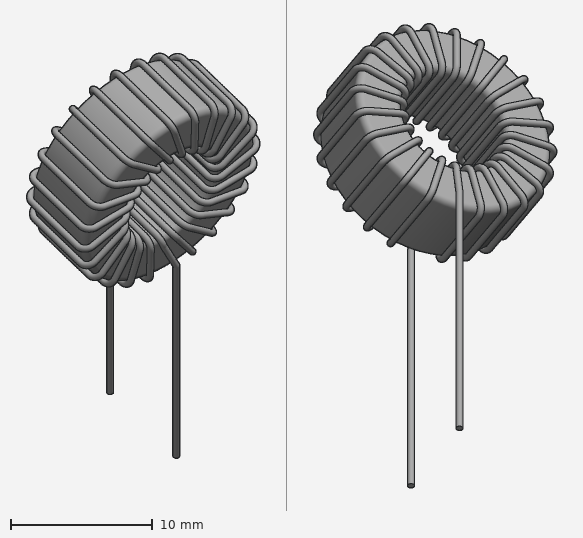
import cadquery as cq
import math

core_diameter = 15.4
bore_diameter = 8.3
core_width = 6.15
core_edge_radius = 0.5

wire_diameter = 0.5
turn_count = 24
lead_spacing = 7.5
lead_stub_length = 0.1
lead_knee_drop = 6.98
lead_end_drop = 27.95

wire_radius = wire_diameter / 2
outer_run_radius = core_diameter / 2 + wire_radius
inner_run_radius = bore_diameter / 2 - wire_radius
face_run_x = core_width / 2 + wire_radius
bend_radius = core_edge_radius + wire_radius
turn_pitch = 2 * math.pi / turn_count


def make_core():
    """Ring with all four of its circular edges rounded."""
    ring = (
        cq.Workplane("YZ", origin=(-core_width / 2, 0, 0))
        .circle(core_diameter / 2)
        .circle(bore_diameter / 2)
        .extrude(core_width)
    )
    return ring.edges("%CIRCLE").fillet(core_edge_radius)


def winding_point(x, radius, turn):
    """Point on the given turn; turn 0 is at the bottom and turns advance towards +Y first."""
    angle = turn * turn_pitch
    return cq.Vector(x, radius * math.sin(angle), -radius * math.cos(angle))


def winding_corners():
    """Sharp corners of the coil's centre line; the first and last lie under the bottom of the core."""
    corners = []
    for turn in range(turn_count):
        corners.append(winding_point(-face_run_x, outer_run_radius, turn))
        corners.append(winding_point(-face_run_x, inner_run_radius, turn))
        corners.append(winding_point(face_run_x, inner_run_radius, turn))
        corners.append(winding_point(face_run_x, outer_run_radius, turn + 1))
    return corners


def bend_points(before, corner, after):
    """Start, middle and end of the arc that rounds a corner of the centre line."""
    to_before = (before - corner).normalized()
    to_after = (after - corner).normalized()
    half_angle = to_before.getAngle(to_after) / 2
    tangent_length = bend_radius / math.tan(half_angle)
    middle_distance = bend_radius / math.sin(half_angle) - bend_radius
    start = corner + to_before * tangent_length
    middle = corner + (to_before + to_after).normalized() * middle_distance
    end = corner + to_after * tangent_length
    return start, middle, end


def lead_points(x):
    """Knee and lower end of the straight lead at the given X."""
    return cq.Vector(x, 0, -lead_knee_drop), cq.Vector(x, 0, -lead_end_drop)


def make_wire():
    """One round wire: lead, coil and second lead.

    The outermost two corners of the coil only give the first and last bends their direction:
    there the wire leaves the core face after a short stub and runs straight to a lead knee.
    """
    first_knee, first_end = lead_points(-lead_spacing / 2)
    last_knee, last_end = lead_points(lead_spacing / 2)
    corners = winding_corners()
    bends = [bend_points(*triple) for triple in zip(corners, corners[1:], corners[2:])]

    first_bend_start = bends[0][0]
    last_bend_end = bends[-1][2]
    first_splay = first_bend_start + (corners[0] - corners[1]).normalized() * lead_stub_length
    last_splay = last_bend_end + (corners[-1] - corners[-2]).normalized() * lead_stub_length

    edges = [
        cq.Edge.makeLine(first_end, first_knee),
        cq.Edge.makeLine(first_knee, first_splay),
    ]
    position = first_splay
    for start, middle, end in bends:
        edges.append(cq.Edge.makeLine(position, start))
        edges.append(cq.Edge.makeThreePointArc(start, middle, end))
        position = end
    edges.append(cq.Edge.makeLine(position, last_splay))
    edges.append(cq.Edge.makeLine(last_splay, last_knee))
    edges.append(cq.Edge.makeLine(last_knee, last_end))

    centre_line = cq.Workplane(cq.Wire.assembleEdges(edges))
    return (
        cq.Workplane("XY", origin=first_end.toTuple())
        .circle(wire_radius)
        .sweep(centre_line, transition="right")
    )


core = make_core()
wire = make_wire()

result = cq.Compound.makeCompound([core.val(), wire.val()])